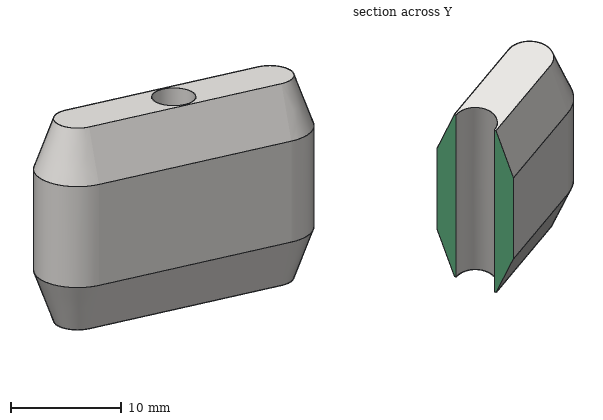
import cadquery as cq

length = 28.0
width = 8.0
height = 20.0
band_height = height / 2
taper_angle = 20.0
hole_diameter = 4.0

taper_height = (height - band_height) / 2


def slot_prism(prism_height, taper=0.0):
    """Round-ended bar standing on the XY plane, its long axis along Y."""
    return cq.Workplane("XY").slot2D(length, width, 90).extrude(prism_height, taper=taper)


band = slot_prism(band_height / 2)
cap = slot_prism(taper_height, taper_angle).translate((0, 0, band_height / 2))
upper_half = band.union(cap)
body = upper_half.union(upper_half.mirror("XY")).clean()

hole = cq.Workplane("XY").circle(hole_diameter / 2).extrude(height, both=True)

result = body.cut(hole)